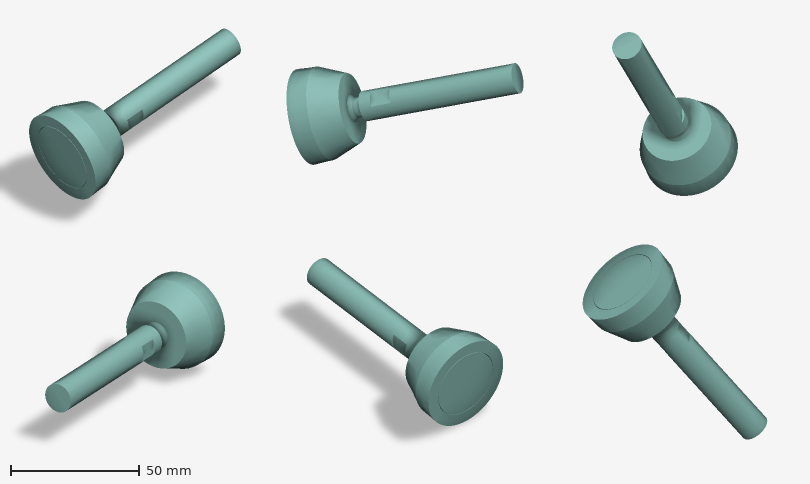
import cadquery as cq

TOTAL_LENGTH = 90.0

FOOT_HEIGHT = 20.0
FOOT_BASE_RADIUS = 38.0 / 2
FOOT_SHOULDER_RADIUS = 37.2 / 2
FOOT_SHOULDER_Y = 8.2
FOOT_TOP_RADIUS = 28.0 / 2
BORE_RADIUS = 28.0 / 2

ROD_RADIUS = 12.0 / 2
ROD_START_Y = 25.0
NECK_RADIUS = 7.8 / 2
NECK_START_Y = 21.5
DISC_RADIUS = 27.5 / 2

FLATS_WIDTH = 10.0
FLATS_START_Y = 30.0
FLATS_LENGTH = 8.1


def cone_y(radius):
    """Height at which the 45 degree cone below the neck has this radius."""
    return NECK_START_Y - (radius - NECK_RADIUS)


def cone_radius(y):
    """Radius of the same cone at height y."""
    return NECK_RADIUS + NECK_START_Y - y


def revolve_profile(points):
    """Turn a closed (radius, y) outline about the Y axis."""
    return cq.Workplane("XY").polyline(points).close().revolve(360, (0, 0, 0), (0, 1, 0))


def make_foot():
    """Tapered ring: its conical seat fits the stud and its bore clears the disc."""
    return revolve_profile([
        (BORE_RADIUS, 0),
        (FOOT_BASE_RADIUS, 0),
        (FOOT_SHOULDER_RADIUS, FOOT_SHOULDER_Y),
        (FOOT_TOP_RADIUS, FOOT_HEIGHT),
        (cone_radius(FOOT_HEIGHT), FOOT_HEIGHT),
        (BORE_RADIUS, cone_y(BORE_RADIUS)),
    ])


def cut_flats(stud):
    """Cut two opposite wrench flats, facing -X and +X."""
    cut_depth = ROD_RADIUS
    for side in (-1, 1):
        cutter = (
            cq.Workplane("XY")
            .box(cut_depth, FLATS_LENGTH, 2 * ROD_RADIUS)
            .translate((side * (FLATS_WIDTH + cut_depth) / 2, FLATS_START_Y + FLATS_LENGTH / 2, 0))
        )
        stud = stud.cut(cutter)
    return stud


def make_stud():
    """Rod with neck, cone and disc; the disc face is flush with the foot base."""
    stud = revolve_profile([
        (0, 0),
        (DISC_RADIUS, 0),
        (DISC_RADIUS, cone_y(DISC_RADIUS)),
        (NECK_RADIUS, NECK_START_Y),
        (NECK_RADIUS, ROD_START_Y),
        (ROD_RADIUS, ROD_START_Y),
        (ROD_RADIUS, TOTAL_LENGTH),
        (0, TOTAL_LENGTH),
    ])
    return cut_flats(stud)


foot = make_foot()
stud = make_stud()

result = cq.Compound.makeCompound([foot.val(), stud.solids().val()])